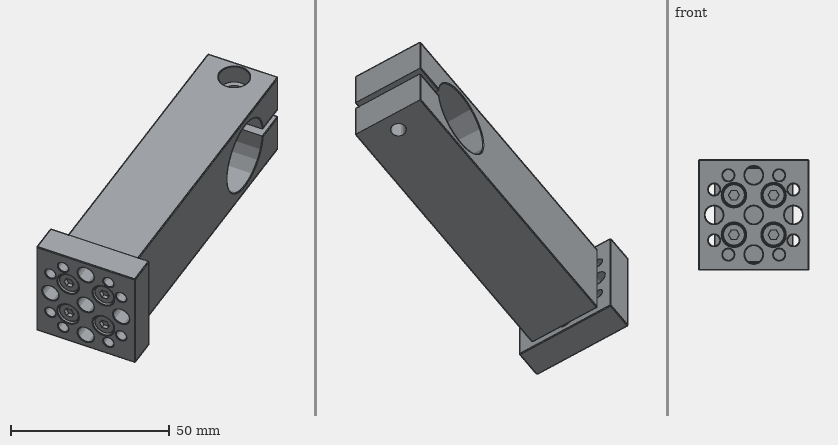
import cadquery as cq

PLATE_SIDE = 35.0
PLATE_THICKNESS = 10.0

TOTAL_LENGTH = 110.0
ARM_LENGTH = TOTAL_LENGTH - PLATE_THICKNESS
ARM_WIDTH = 25.0
ARM_HEIGHT = 30.0

BORE_DIAMETER = 25.0
BORE_END_DISTANCE = 23.0
SLOT_WIDTH = 3.0

BOLT_END_DISTANCE = 6.0
BOLT_HEAD_DIAMETER = 10.0
BOLT_HEAD_DEPTH = 6.5
BOLT_CLEARANCE_DIAMETER = 6.6
BOLT_THREAD_DIAMETER = 5.0

DOWEL_DIAMETER = 5.7
SIDE_HOLE_DIAMETER = 3.6
HOLE_OFFSET = 12.5
SIDE_HOLE_OFFSET = 8.0

SCREW_OFFSET = HOLE_OFFSET / 2
SCREW_RECESS_DIAMETER = 7.6
SCREW_RECESS_DEPTH = 4.6
HEAD_DIAMETER = 7.0
HEAD_HEIGHT = 4.0
SHANK_DIAMETER = 4.0
SHANK_LENGTH = 16.0
SOCKET_SIDES = 6
SOCKET_FLATS = 3.0
SOCKET_DEPTH = 1.4
SOCKET_TURN = 30
HEAD_CHAMFER = 0.2

EDGE_CHAMFER = 0.28
HOLE_CHAMFER = 0.2

DOWEL_POINTS = [
    (0, 0),
    (HOLE_OFFSET, 0),
    (-HOLE_OFFSET, 0),
    (0, HOLE_OFFSET),
    (0, -HOLE_OFFSET),
]
SIDE_HOLE_POINTS = [
    (sx * x, sz * z)
    for x, z in [(HOLE_OFFSET, SIDE_HOLE_OFFSET), (SIDE_HOLE_OFFSET, HOLE_OFFSET)]
    for sx in (-1, 1)
    for sz in (-1, 1)
]
SCREW_POINTS = [(sx * SCREW_OFFSET, sz * SCREW_OFFSET) for sx in (-1, 1) for sz in (-1, 1)]


def rod(x, z, y_start, length, diameter):
    """Cylinder along +Y."""
    return cq.Workplane(
        cq.Solid.makeCylinder(diameter / 2, length, cq.Vector(x, y_start, z), cq.Vector(0, 1, 0))
    )


def mouth(center, direction, diameter):
    """Cone that chamfers the mouth of a hole, narrowing along the direction."""
    radius = diameter / 2
    return cq.Workplane(
        cq.Solid.makeCone(
            radius + HOLE_CHAMFER, radius, HOLE_CHAMFER, cq.Vector(*center), cq.Vector(*direction)
        )
    )


def cut_front_hole(plate, x, z, diameter, depth):
    """Hole from the front face of the plate, with a chamfered mouth."""
    plate = plate.cut(rod(x, z, 0, depth, diameter))
    return plate.cut(mouth((x, 0, z), (0, 1, 0), diameter))


def make_plate():
    """Square plate with dowel holes, side holes and counterbored screw holes."""
    plate = (
        cq.Workplane("XY")
        .box(PLATE_SIDE, PLATE_THICKNESS, PLATE_SIDE)
        .edges()
        .chamfer(EDGE_CHAMFER)
        .translate((0, PLATE_THICKNESS / 2, 0))
    )
    for x, z in DOWEL_POINTS:
        plate = cut_front_hole(plate, x, z, DOWEL_DIAMETER, PLATE_THICKNESS)
    for x, z in SIDE_HOLE_POINTS:
        plate = cut_front_hole(plate, x, z, SIDE_HOLE_DIAMETER, PLATE_THICKNESS)
    for x, z in SCREW_POINTS:
        plate = cut_front_hole(plate, x, z, SCREW_RECESS_DIAMETER, SCREW_RECESS_DEPTH)
        plate = plate.cut(rod(x, z, 0, PLATE_THICKNESS, SHANK_DIAMETER))
    return plate


def make_clamp_opening():
    """Bore along X with a slot from it to the free end."""
    bore_y = TOTAL_LENGTH - BORE_END_DISTANCE
    bore = (
        cq.Workplane("YZ", origin=(-ARM_WIDTH / 2, bore_y, 0))
        .circle(BORE_DIAMETER / 2)
        .extrude(ARM_WIDTH)
    )
    slot = (
        cq.Workplane("XY")
        .box(ARM_WIDTH, BORE_END_DISTANCE, SLOT_WIDTH)
        .translate((0, TOTAL_LENGTH - BORE_END_DISTANCE / 2, 0))
    )
    return bore.union(slot)


def make_bolt_hole():
    """Counterbored clearance hole in the upper jaw, threaded hole in the lower jaw."""
    bolt_y = TOTAL_LENGTH - BOLT_END_DISTANCE
    top = ARM_HEIGHT / 2

    def vertical(z_top, length, diameter):
        return cq.Workplane("XY", origin=(0, bolt_y, z_top)).circle(diameter / 2).extrude(-length)

    return (
        vertical(top, BOLT_HEAD_DEPTH, BOLT_HEAD_DIAMETER)
        .union(mouth((0, bolt_y, top), (0, 0, -1), BOLT_HEAD_DIAMETER))
        .union(vertical(top, top, BOLT_CLEARANCE_DIAMETER))
        .union(vertical(0, top, BOLT_THREAD_DIAMETER))
    )


def make_arm():
    """Clamp arm with broken edges on both sides and at the plate end."""
    arm = (
        cq.Workplane("XY")
        .box(ARM_WIDTH, ARM_LENGTH, ARM_HEIGHT)
        .translate((0, PLATE_THICKNESS + ARM_LENGTH / 2, 0))
        .cut(make_clamp_opening())
        .faces("<X or >X or <Y")
        .chamfer(EDGE_CHAMFER)
        .cut(make_bolt_hole())
    )
    for x, z in SCREW_POINTS:
        shank_depth = SCREW_RECESS_DEPTH + SHANK_LENGTH - PLATE_THICKNESS
        arm = arm.cut(rod(x, z, PLATE_THICKNESS, shank_depth, SHANK_DIAMETER))
    return arm


def make_screw(x, z):
    """Socket head screw whose head sits on the floor of its recess."""
    head_y = SCREW_RECESS_DEPTH - HEAD_HEIGHT
    socket = (
        cq.Workplane("XZ", origin=(x, head_y, z))
        .polygon(SOCKET_SIDES, SOCKET_FLATS, circumscribed=True)
        .extrude(-SOCKET_DEPTH)
        .rotate((x, 0, z), (x, 1, z), SOCKET_TURN)
    )
    return (
        rod(x, z, head_y, HEAD_HEIGHT, HEAD_DIAMETER)
        .faces("<Y")
        .chamfer(HEAD_CHAMFER)
        .union(rod(x, z, SCREW_RECESS_DEPTH, SHANK_LENGTH, SHANK_DIAMETER))
        .cut(socket)
    )


plate = make_plate()
arm = make_arm()
screws = [make_screw(x, z) for x, z in SCREW_POINTS]

result = cq.Compound.makeCompound([plate.val(), arm.val(), *[screw.val() for screw in screws]])